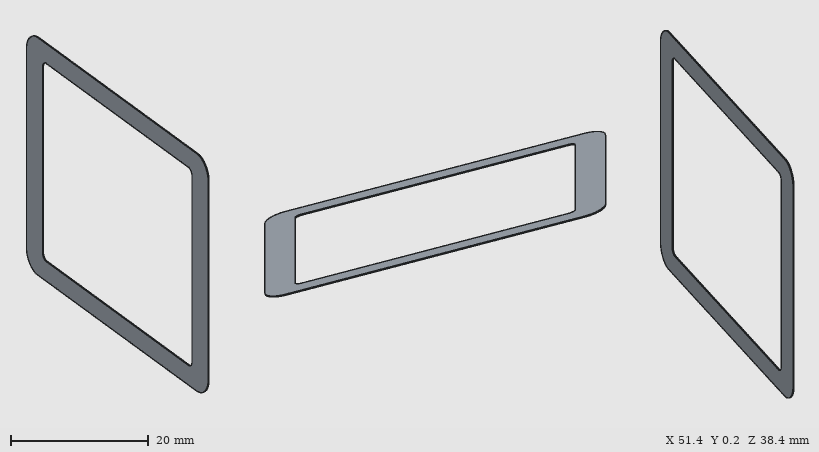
import cadquery as cq

width = 51.4
height = 38.4
thickness = 0.2
outer_corner_radius = 3.2

side_border = 4.6
top_border = 3.2
opening_corner_radius = 1.0
opening_width = width - 2 * side_border
opening_height = height - 2 * top_border


def rounded_plate(plate_width, plate_height, corner_radius):
    """Thin upright plate centred on the origin, with rounded corners."""
    plate = cq.Workplane("XY").box(plate_width, thickness, plate_height)
    return plate.edges("|Y").fillet(corner_radius)


frame = rounded_plate(width, height, outer_corner_radius)
opening = rounded_plate(opening_width, opening_height, opening_corner_radius)
result = frame.cut(opening)